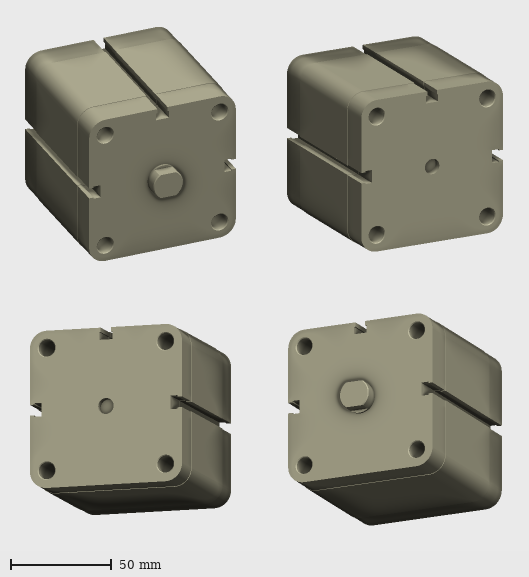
import cadquery as cq

overall_length = 87.5
side = 80.0
barrel_length = 50.6
cap_inset = 0.3
bolt_spacing = 61.95

neck_width = 4.9
neck_depth = 2.8
groove_width = 6.3
groove_depth = 6.1
groove_angles = (-90, 0, 90)

bolt_hole_diameter = 8.5
bolt_hole_flare = 0.4
center_hole_diameter = 8.05
center_hole_depth = 4.0

rod_diameter = 16.1
rod_chamfer = 0.4
flats_width = 12.95
flats_start = 1.2

half_side = side / 2
corner_radius = half_side - bolt_spacing / 2
cap_length = (side - barrel_length) / 2
rear_face = -overall_length / 2
barrel_start = rear_face + cap_length
barrel_end = barrel_start + barrel_length
front_face = rear_face + side
rod_tip = overall_length / 2


def yz_plane(x):
    """Plane across the cylinder axis at x; local axes are Y and Z."""
    return cq.Workplane("YZ", origin=(x, 0, 0))


def groove_cutter(x, length, inset):
    """T-shaped bar for the top groove, enlarged on every side by inset."""
    neck_half = neck_width / 2 + inset
    groove_half = groove_width / 2 + inset
    ledge = half_side - neck_depth + inset
    floor = half_side - groove_depth - inset
    return (
        yz_plane(x)
        .moveTo(-neck_half, half_side)
        .lineTo(-neck_half, ledge)
        .lineTo(-groove_half, ledge)
        .lineTo(-groove_half, floor)
        .lineTo(groove_half, floor)
        .lineTo(groove_half, ledge)
        .lineTo(neck_half, ledge)
        .lineTo(neck_half, half_side)
        .close()
        .extrude(length)
    )


def profile_block(x, length, inset=0.0):
    """Rounded square block with three grooves and four bolt holes, its outline set in by inset."""
    width = side - 2 * inset
    block = yz_plane(x).rect(width, width).extrude(length)
    block = block.edges("|X").fillet(corner_radius - inset)
    cutter = groove_cutter(x, length, inset)
    for groove_angle in groove_angles:
        block = block.cut(cutter.rotate((0, 0, 0), (1, 0, 0), groove_angle))
    bolt_holes = (
        yz_plane(x)
        .rect(bolt_spacing, bolt_spacing, forConstruction=True)
        .vertices()
        .circle(bolt_hole_diameter / 2)
        .extrude(length)
    )
    return block.cut(bolt_holes)


def flare_bolt_holes(cap, face):
    """Chamfer the bolt hole mouths on the given outer face of a cap."""
    smallest_circles = cq.selectors.RadiusNthSelector(0)
    mouths = cap.faces(face).edges("%CIRCLE").edges(smallest_circles)
    return mouths.chamfer(bolt_hole_flare)


def make_barrel():
    return profile_block(barrel_start, barrel_length)


def make_rear_cap():
    cap = flare_bolt_holes(profile_block(rear_face, cap_length, cap_inset), "<X")
    center_hole = yz_plane(rear_face).circle(center_hole_diameter / 2).extrude(center_hole_depth)
    return cap.cut(center_hole)


def make_front_cap():
    cap = flare_bolt_holes(profile_block(barrel_end, cap_length, cap_inset), ">X")
    rod_bore = yz_plane(barrel_end).circle(rod_diameter / 2).extrude(cap_length)
    return cap.cut(rod_bore)


def make_rod():
    rod = yz_plane(barrel_end).circle(rod_diameter / 2).extrude(rod_tip - barrel_end)
    rod = rod.faces(">X").chamfer(rod_chamfer)
    flats_plane = yz_plane(front_face + flats_start)
    flats_length = rod_tip - front_face - flats_start
    flats = (
        flats_plane.rect(rod_diameter, rod_diameter).extrude(flats_length)
        .cut(flats_plane.rect(rod_diameter, flats_width).extrude(flats_length))
    )
    return rod.cut(flats)


barrel = make_barrel()
rear_cap = make_rear_cap()
front_cap = make_front_cap()
rod = make_rod()

result = cq.Compound.makeCompound([barrel.val(), rear_cap.val(), front_cap.val(), rod.val()])